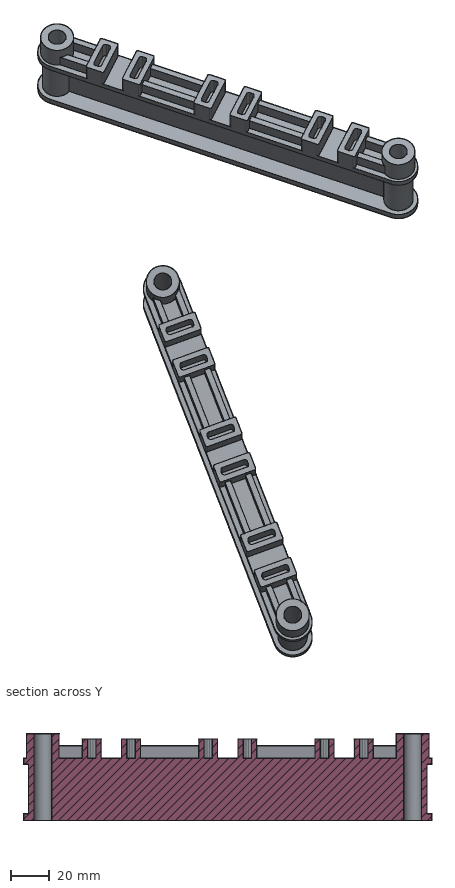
import cadquery as cq

length = 210.0
width = 20.0
height = 44.7

base_top = 3.5
deck_bottom = 29.0
deck_top = 32.1
rail_top = 38.6
block_top = 42.0

post_x = (length - width) / 2
post_diameter = 15.1
boss_diameter = 17.0
bore_diameter = 9.0

web_thickness = 3.2

pair_pitch = 59.8
block_pitch = 20.2
block_length = 9.9
block_corner_radius = 0.8
slot_length = 4.2
slot_width = 14.5
slot_corner_radius = 1.5

rail_outer_width = 14.3
rail_inner_width = 8.2

pair_centres = [-pair_pitch, 0, pair_pitch]
post_centres = [(-post_x, 0), (post_x, 0)]


def level(z):
    """Workplane parallel to the base at height z."""
    return cq.Workplane("XY").workplane(offset=z)


def rounded_plate(bottom, top):
    """Full-length plate with semicircular ends."""
    return level(bottom).slot2D(length, width).extrude(top - bottom)


def post_cylinders(diameter, bottom, top):
    """One upright cylinder at each end of the part."""
    return level(bottom).pushPoints(post_centres).circle(diameter / 2).extrude(top - bottom)


def box_between(x_start, x_end, y_size, bottom, top):
    """Box centred across the width, spanning the given X and Z limits."""
    middle = (x_start + x_end) / 2
    return level(bottom).center(middle, 0).rect(x_end - x_start, y_size).extrude(top - bottom)


def slotted_block(x):
    """Full-width upright block with rounded corners and a blind slot down to deck level."""
    block_half = block_length / 2
    slot_half = slot_length / 2
    block = box_between(x - block_half, x + block_half, width, deck_top, block_top)
    slot = box_between(x - slot_half, x + slot_half, slot_width, deck_top, block_top)
    block = block.edges("|Z").fillet(block_corner_radius)
    slot = slot.edges("|Z").fillet(slot_corner_radius)
    return block.cut(slot)


def twin_rails(x_start, x_end):
    """Two parallel rails standing on the deck."""
    outer = box_between(x_start, x_end, rail_outer_width, deck_top, rail_top)
    inner = box_between(x_start, x_end, rail_inner_width, deck_top, rail_top)
    return outer.cut(inner)


part = rounded_plate(0, base_top)
part = part.union(rounded_plate(deck_bottom, deck_top))
part = part.union(box_between(-post_x, post_x, web_thickness, base_top, deck_bottom))
part = part.union(post_cylinders(post_diameter, base_top, deck_bottom))
part = part.union(post_cylinders(boss_diameter, deck_top, height))

pair_half_length = (block_pitch + block_length) / 2
rail_ends = [-post_x]
for centre in pair_centres:
    rail_ends += [centre - pair_half_length, centre + pair_half_length]
rail_ends.append(post_x)
for x_start, x_end in zip(rail_ends[::2], rail_ends[1::2]):
    part = part.union(twin_rails(x_start, x_end))

for centre in pair_centres:
    for side in (-1, 1):
        part = part.union(slotted_block(centre + side * block_pitch / 2))

result = part.cut(post_cylinders(bore_diameter, 0, height))